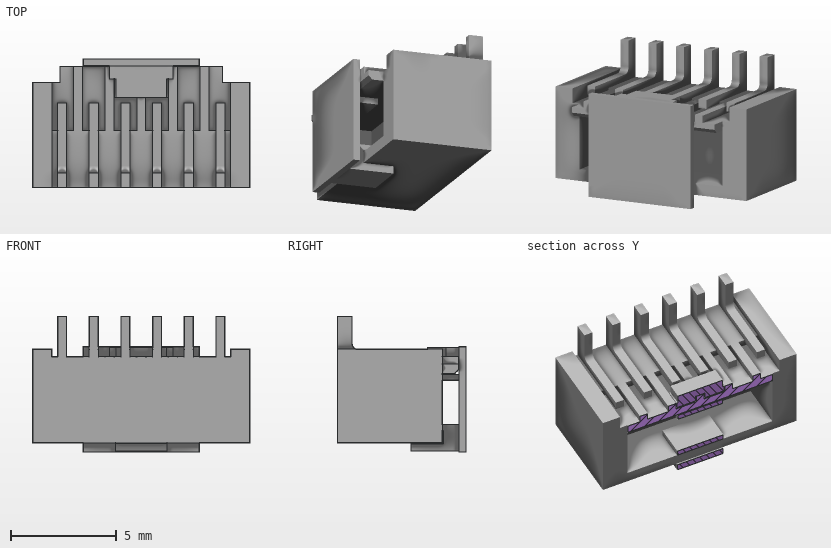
import cadquery as cq


HOUSING_WIDTH = 10.3
HOUSING_DEPTH = 4.98
HOUSING_HEIGHT = 4.45
END_WALL = 0.91
RECESS_FLOOR = 4.09
LIP_WIDTH = 7.71
LIP_END = 5.74
LIP_CHAMFER = 0.19

CAVITY_WIDTH = LIP_WIDTH
CAVITY_FRONT = 2.7
CAVITY_CEILING = 3.28
CAVITY_FLOOR = 0.55

CONTACT_COUNT = 6
PITCH = 1.5
POCKET_WIDTH = 1.08
POCKET_FRONT = CAVITY_FRONT
POCKET_FLOOR = 3.73
CONTACT_WIDTH = 0.43
CONTACT_END = 4.0
ARM_TOP = 4.42
ARM_BOTTOM = ARM_TOP - CONTACT_WIDTH
LEG_DEPTH = 0.7
LEG_TOP = 6.0
BEND_RADIUS = 0.3

CLEARANCE = 0.03
PLATE_WIDTH = 5.5
PLATE_HEIGHT = 5.0
PLATE_THICKNESS = 0.34
PLATE_BACK = 6.1
OVERALL_HEIGHT = 6.43
PLATE_BOTTOM = LEG_TOP - OVERALL_HEIGHT
PLATE_FACE = PLATE_BACK - PLATE_THICKNESS
CLIP_INSET = 0.04
CLIP_TOP = PLATE_BOTTOM + PLATE_HEIGHT - CLIP_INSET
CLIP_BOTTOM = PLATE_BOTTOM + CLIP_INSET
SHOULDER_WIDTH = 3.03
SHOULDER_FRONT = 5.15
TONGUE_WIDTH = 2.38
TONGUE_FRONT = 4.26
INNER_TONGUE_BOTTOM = 2.96
LOWER_CLIP_WIDTH = 2.45
LOWER_CLIP_FRONT = 3.48
HOOK_TOP = 0.88

contact_centres = [(i - (CONTACT_COUNT - 1) / 2) * PITCH for i in range(CONTACT_COUNT)]


def block(x_range, y_range, z_range):
    """Box between the given limits along each axis."""
    limits = (x_range, y_range, z_range)
    sizes = [high - low for low, high in limits]
    corner = tuple(low for low, _ in limits)
    return cq.Workplane("XY").box(*sizes, centered=False).translate(corner)


def centred_block(width, y_range, z_range):
    """Box of the given width, symmetric about X = 0."""
    return block((-width / 2, width / 2), y_range, z_range)


def make_contact(x):
    """L-shaped contact: an upright leg at the front and an arm lying along the top recess."""
    profile = (
        cq.Workplane("YZ")
        .moveTo(0, ARM_BOTTOM)
        .lineTo(CONTACT_END, ARM_BOTTOM)
        .lineTo(CONTACT_END, ARM_TOP)
        .lineTo(LEG_DEPTH + BEND_RADIUS, ARM_TOP)
        .radiusArc((LEG_DEPTH, ARM_TOP + BEND_RADIUS), BEND_RADIUS)
        .lineTo(LEG_DEPTH, LEG_TOP)
        .lineTo(0, LEG_TOP)
        .close()
    )
    return profile.extrude(CONTACT_WIDTH / 2, both=True).translate((x, 0, 0))


def make_housing():
    """Housing with its contacts fixed in it, as one solid."""
    body = centred_block(HOUSING_WIDTH, (0, HOUSING_DEPTH), (0, HOUSING_HEIGHT))

    recess_width = HOUSING_WIDTH - 2 * END_WALL
    body = body.cut(centred_block(recess_width, (0, HOUSING_DEPTH), (RECESS_FLOOR, HOUSING_HEIGHT)))

    lip = centred_block(LIP_WIDTH, (POCKET_FRONT, LIP_END), (CAVITY_CEILING, RECESS_FLOOR))
    lip = lip.faces(">Y").edges("<Z").chamfer(LIP_CHAMFER)
    body = body.union(lip)

    body = body.cut(
        centred_block(CAVITY_WIDTH, (CAVITY_FRONT, HOUSING_DEPTH), (CAVITY_FLOOR, CAVITY_CEILING))
    )

    for x in contact_centres:
        left = x - POCKET_WIDTH / 2
        right = x + POCKET_WIDTH / 2
        if x == contact_centres[0]:
            left = -recess_width / 2
        if x == contact_centres[-1]:
            right = recess_width / 2
        body = body.cut(block((left, right), (POCKET_FRONT, LIP_END), (POCKET_FLOOR, RECESS_FLOOR)))

    for x in contact_centres:
        body = body.union(make_contact(x))
    return body


def make_cap():
    """Pick-up plate with a clip that grips the lip and another that grips the bottom wall."""
    cap = centred_block(
        PLATE_WIDTH, (PLATE_FACE, PLATE_BACK), (PLATE_BOTTOM, PLATE_BOTTOM + PLATE_HEIGHT)
    )

    cap = cap.union(centred_block(SHOULDER_WIDTH, (SHOULDER_FRONT, PLATE_FACE), (RECESS_FLOOR, CLIP_TOP)))
    cap = cap.union(centred_block(TONGUE_WIDTH, (TONGUE_FRONT, PLATE_FACE), (RECESS_FLOOR, CLIP_TOP)))
    inner_top = CAVITY_CEILING - CLEARANCE
    cap = cap.union(
        centred_block(TONGUE_WIDTH, (TONGUE_FRONT, PLATE_FACE), (INNER_TONGUE_BOTTOM, inner_top))
    )

    key_width = POCKET_WIDTH - 2 * CLEARANCE
    for x in (-PITCH / 2, PITCH / 2):
        cap = cap.union(
            block(
                (x - key_width / 2, x + key_width / 2),
                (TONGUE_FRONT, PLATE_FACE),
                (POCKET_FLOOR + CLEARANCE, RECESS_FLOOR),
            )
        )

    lower_clip = centred_block(
        LOWER_CLIP_WIDTH, (LOWER_CLIP_FRONT, PLATE_FACE), (CLIP_BOTTOM, HOOK_TOP)
    )
    wall_notch = centred_block(
        LOWER_CLIP_WIDTH,
        (LOWER_CLIP_FRONT, HOUSING_DEPTH + CLEARANCE),
        (-CLEARANCE, CAVITY_FLOOR + CLEARANCE),
    )
    return cap.union(lower_clip.cut(wall_notch))


housing = make_housing()
cap = make_cap()

result = cq.Compound.makeCompound([*housing.solids().vals(), *cap.solids().vals()])